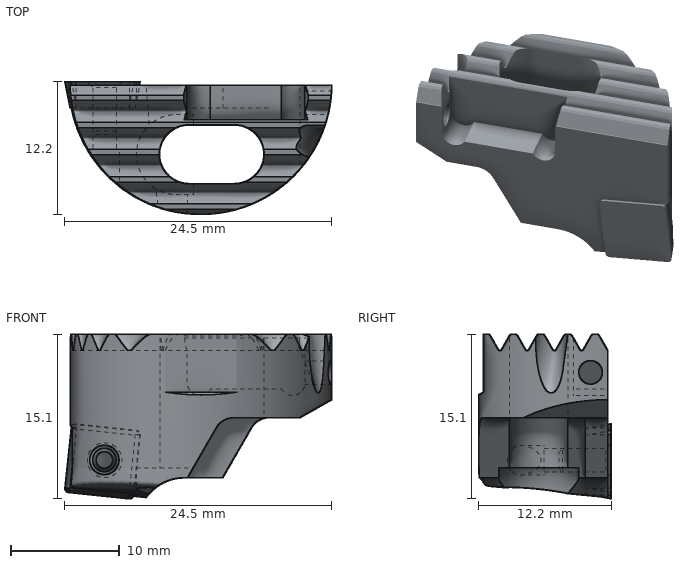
import cadquery as cq
import math


body_radius = 12.0
back_y = -0.15
body_bottom = -16.17
lean_top = -12.3
lean_angle = 4.5
relief_angle = 6.0
bottom_at_axis = -15.53
bottom_round = 0.37

ledge_z = -7.67
gullet_foot_z = -13.18
gullet_slope_angle = 60.0
gullet_fillet = 1.84
front_ledge_start_x = 1.94
rear_ledge_start_x = 5.17
rear_web_y = -2.2
nose_arc_radius = 4.35
nose_arc_start_x = -1.52
ledge_chamfer_x = 9.06
ledge_chamfer_z = -6.0

tooth_pitch = 2.5
first_groove_y = -0.05
groove_count = 6
tooth_tip_width = 0.5
tooth_bevel_width = 0.17
tooth_bevel_height = 0.2
groove_round_width = 0.35
groove_depth = 1.5
groove_round_height = 0.12

slot_length = 9.58
slot_width = 5.37
slot_center_x = 0.98
slot_center_y = -6.5
recess_length = 13.87
recess_width = 7.35
recess_top = -12.25

key_left = -1.6
key_right = 9.82
key_depth_y = 3.15
key_lead_depth = 1.81
key_lead_angle = 9.5
key_floor_z = -5.02
key_relief_radius = 1.15
key_relief_end_angle = 30.0
key_hole_radius = 1.08
key_hole_z = -3.5

flat_half_width = 3.25
flat_height = 5.32
flat_run_out_angle = 30.0

side_groove_radius = 1.45
side_groove_tilt = 22.6
side_groove_heading = -19.5
side_groove_x = 10.05
side_groove_y = -5.27

insert_side = 6.35
insert_thickness = 2.38
insert_corner_radius = 0.4
insert_clearance = 11.0
insert_tilt = 6.0
insert_center_x = -9.05
insert_center_z = -11.65
insert_face_y = 0.17
pocket_overrun = 0.98

screw_x = -8.87
screw_z = -11.55
screw_radius = 1.08
screw_tip_radius = 0.75
screw_tip_y = -4.65
screw_head_radius = 1.6
screw_access_radius = 1.35
screw_access_end_y = -6.0

reach = 2 * body_radius
margin = 0.25


def tangent(angle):
    return math.tan(math.radians(angle))


def front_block(outline, y_front, y_back):
    """Extrude a closed XZ outline from y_front to y_back."""
    return outline.extrude(y_back - y_front).translate((0, y_back, 0))


def round_body():
    straight = cq.Workplane("XY").circle(body_radius).extrude(lean_top)
    lean_height = lean_top - body_bottom
    lean_shift = lean_height * tangent(lean_angle)
    leaning = (
        cq.Workplane("XY", origin=(0, 0, lean_top))
        .circle(body_radius)
        .workplane(offset=-lean_height)
        .center(-lean_shift, 0)
        .circle(body_radius)
        .loft(ruled=True)
    )
    behind = cq.Workplane("XY").box(2 * reach, reach, 2 * reach, centered=(True, False, True))
    body = straight.union(leaning).cut(behind.translate((0, back_y, 0)))

    slope = tangent(relief_angle)
    bottom_plane = cq.Plane(origin=(0, 0, bottom_at_axis), xDir=(1, 0, -slope), normal=(slope, slope, 1))
    body = body.cut(cq.Workplane(bottom_plane).rect(2 * reach, 2 * reach).extrude(-reach))
    rim = cq.selectors.BoxSelector(
        (-reach, -reach, body_bottom),
        (reach, back_y - margin, lean_top - margin),
    )
    return body.edges(rim).fillet(bottom_round)


def gullet(ledge_start_x, y_front, y_back):
    foot_x = ledge_start_x - (ledge_z - gullet_foot_z) / tangent(gullet_slope_angle)
    outline = (
        cq.Workplane("XZ")
        .moveTo(foot_x, body_bottom)
        .lineTo(foot_x, gullet_foot_z)
        .lineTo(ledge_start_x, ledge_z)
        .lineTo(reach, ledge_z)
        .lineTo(reach, body_bottom)
        .close()
    )
    block = front_block(outline, y_front, y_back)
    corner = cq.selectors.BoxSelector(
        (ledge_start_x - margin, -reach, ledge_z - margin),
        (ledge_start_x + margin, reach, ledge_z + margin),
    )
    return block.edges(corner).fillet(gullet_fillet)


def nose_cut():
    """Rounded underside between the bottom and the gullet foot."""
    nose = (
        cq.Workplane("XZ")
        .center(nose_arc_start_x, gullet_foot_z - nose_arc_radius)
        .circle(nose_arc_radius)
    )
    flat = (
        cq.Workplane("XZ")
        .moveTo(nose_arc_start_x, gullet_foot_z)
        .lineTo(reach, gullet_foot_z)
        .lineTo(reach, -reach)
        .lineTo(nose_arc_start_x, -reach)
        .close()
    )
    return front_block(nose, -reach, reach).union(front_block(flat, -reach, reach))


def ledge_chamfer():
    outline = (
        cq.Workplane("XZ")
        .moveTo(ledge_chamfer_x, ledge_z)
        .lineTo(body_radius, ledge_chamfer_z)
        .lineTo(body_radius, ledge_z)
        .close()
    )
    return front_block(outline, -reach, reach)


def tooth_groove(y):
    top = (tooth_pitch - tooth_tip_width) / 2
    bevel = top - tooth_bevel_width
    foot = groove_round_width / 2
    foot_z = groove_round_height - groove_depth
    return (
        cq.Workplane("YZ", origin=(-reach, y, 0))
        .moveTo(-top, 0)
        .lineTo(-bevel, -tooth_bevel_height)
        .lineTo(-foot, foot_z)
        .threePointArc((0, -groove_depth), (foot, foot_z))
        .lineTo(bevel, -tooth_bevel_height)
        .lineTo(top, 0)
        .close()
        .extrude(2 * reach)
    )


def long_hole():
    center = (slot_center_x, slot_center_y)
    hole = cq.Workplane("XY").center(*center).slot2D(slot_length, slot_width).extrude(-reach)
    recess = (
        cq.Workplane("XY", origin=(0, 0, recess_top))
        .center(*center)
        .slot2D(recess_length, recess_width)
        .extrude(-reach)
    )
    return hole.union(recess)


def keyway():
    """Slot in the back with a tapered lead-in and a round relief along both floor corners."""
    lead = key_lead_depth * tangent(key_lead_angle)
    left = key_left + lead
    right = key_right - lead
    relief_rise = key_relief_radius * math.sin(math.radians(key_relief_end_angle))
    relief_run = key_relief_radius * math.cos(math.radians(key_relief_end_angle))
    relief_z = key_floor_z + relief_rise
    left_center = left + key_relief_radius
    right_center = right - key_relief_radius
    outline = (
        cq.Workplane("XZ")
        .moveTo(key_left, 0)
        .lineTo(left, -key_lead_depth)
        .lineTo(left, relief_z)
        .threePointArc((left_center, relief_z - key_relief_radius), (left_center + relief_run, key_floor_z))
        .lineTo(right_center - relief_run, key_floor_z)
        .threePointArc((right_center, relief_z - key_relief_radius), (right, relief_z))
        .lineTo(right, -key_lead_depth)
        .lineTo(key_right, 0)
        .close()
    )
    slot = front_block(outline, back_y - key_depth_y, back_y)
    middle_x = (key_left + key_right) / 2
    middle_y = back_y - key_depth_y / 2
    side_hole = (
        cq.Workplane("YZ", origin=(middle_x, middle_y, key_hole_z))
        .circle(key_hole_radius)
        .extrude(reach)
    )
    return slot.union(side_hole)


def front_flat():
    flat_y = -math.sqrt(body_radius**2 - flat_half_width**2)
    depth = body_radius + flat_y
    return (
        cq.Workplane("YZ", origin=(-flat_half_width, 0, 0))
        .moveTo(flat_y, 0)
        .lineTo(flat_y, -flat_height)
        .lineTo(flat_y - depth, -flat_height - depth * tangent(flat_run_out_angle))
        .lineTo(flat_y - depth, 0)
        .close()
        .extrude(2 * flat_half_width)
    )


def side_groove():
    """U-shaped groove that runs down and out and opens towards +X."""
    tilt = math.radians(side_groove_tilt)
    heading = math.radians(side_groove_heading)
    run_x = math.sin(tilt) * math.cos(heading)
    run_y = math.sin(tilt) * math.sin(heading)
    run_z = -math.cos(tilt)
    cross_section = cq.Plane(
        origin=(side_groove_x, side_groove_y, 0),
        xDir=(1 - run_x**2, -run_x * run_y, -run_x * run_z),
        normal=(run_x, run_y, run_z),
    )
    bore = cq.Workplane(cross_section).circle(side_groove_radius).extrude(reach, both=True)
    opening = (
        cq.Workplane(cross_section)
        .center(reach / 2, 0)
        .rect(reach, 2 * side_groove_radius)
        .extrude(reach, both=True)
    )
    return bore.union(opening)


def tapered_square(side):
    """Insert-shaped block whose top right edge stays in place whatever its side."""
    shift = (insert_side - side) / 2
    return (
        cq.Workplane("XZ")
        .center(shift, shift)
        .sketch()
        .rect(side, side)
        .vertices()
        .fillet(insert_corner_radius)
        .finalize()
        .extrude(insert_thickness, taper=insert_clearance)
        .rotate((0, 0, 0), (0, 1, 0), insert_tilt)
        .translate((insert_center_x, insert_face_y, insert_center_z))
    )


def make_screw():
    """Countersunk screw, flush with the insert, with a chamfered tip."""
    tip_chamfer = screw_radius - screw_tip_radius
    head_height = screw_head_radius - screw_radius
    return (
        cq.Workplane("XY")
        .moveTo(0, screw_tip_y)
        .lineTo(screw_tip_radius, screw_tip_y)
        .lineTo(screw_radius, screw_tip_y + tip_chamfer)
        .lineTo(screw_radius, insert_face_y - head_height)
        .lineTo(screw_head_radius, insert_face_y)
        .lineTo(0, insert_face_y)
        .close()
        .revolve(360, (0, 0, 0), (0, 1, 0))
        .translate((screw_x, 0, screw_z))
    )


def screw_bore():
    axis = cq.Workplane("XZ").center(screw_x, screw_z)
    thread = front_block(axis.circle(screw_radius), screw_access_end_y, insert_face_y)
    access = front_block(axis.circle(screw_access_radius), -reach, screw_access_end_y)
    return thread.union(access)


def make_holder():
    holder = round_body()
    holder = holder.cut(gullet(front_ledge_start_x, -reach, rear_web_y))
    holder = holder.cut(gullet(rear_ledge_start_x, -reach, reach))
    holder = holder.cut(nose_cut()).cut(ledge_chamfer())
    holder = holder.cut(long_hole()).cut(keyway()).cut(front_flat()).cut(side_groove())
    for index in range(groove_count):
        holder = holder.cut(tooth_groove(first_groove_y - index * tooth_pitch))
    pocket = tapered_square(insert_side + pocket_overrun)
    return holder.cut(pocket).cut(screw_bore())


holder = make_holder()
screw = make_screw()
insert = tapered_square(insert_side).cut(screw)

result = cq.Compound.makeCompound([holder.solids().val(), insert.solids().val(), screw.val()])